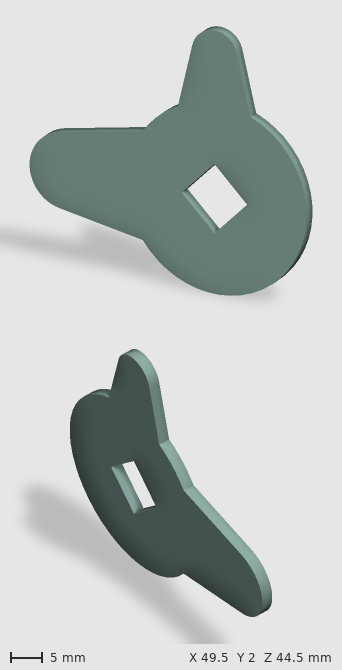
import cadquery as cq
import math

thickness = 2.0
disc_radius = 16.1
disc_offset = 0.4
square_diagonal = 11.7

wide_arm_reach = 49.5 - disc_radius - disc_offset
wide_arm_tip_radius = 6.55
wide_arm_flare = 10.65

narrow_arm_reach = 28.4
narrow_arm_tip_radius = 4.05
narrow_arm_flare = 13.4


def plate():
    return cq.Workplane("XZ")


def arm(reach, tip_radius, flare_degrees):
    """Arm pointing along +X, from the hub to its round tip."""
    flare = math.radians(flare_degrees)
    tip_centre = reach - tip_radius
    tangent_x = tip_centre + tip_radius * math.sin(flare)
    tangent_z = tip_radius * math.cos(flare)
    hub_half_width = tangent_z + tangent_x * math.tan(flare)
    return (
        plate()
        .moveTo(0, -hub_half_width)
        .lineTo(tangent_x, -tangent_z)
        .threePointArc((reach, 0), (tangent_x, tangent_z))
        .lineTo(0, hub_half_width)
        .close()
        .extrude(thickness / 2, both=True)
    )


def turned(body, degrees):
    """Turn a body about the hub, from +X towards +Z."""
    return body.rotate((0, 0, 0), (0, -1, 0), degrees)


disc = plate().center(disc_offset, 0).circle(disc_radius).extrude(thickness / 2, both=True)
wide_arm = turned(arm(wide_arm_reach, wide_arm_tip_radius, wide_arm_flare), 180)
narrow_arm = turned(arm(narrow_arm_reach, narrow_arm_tip_radius, narrow_arm_flare), 90)

square_hole = plate().polygon(4, square_diagonal).extrude(thickness, both=True)

result = disc.union(wide_arm).union(narrow_arm).cut(square_hole)